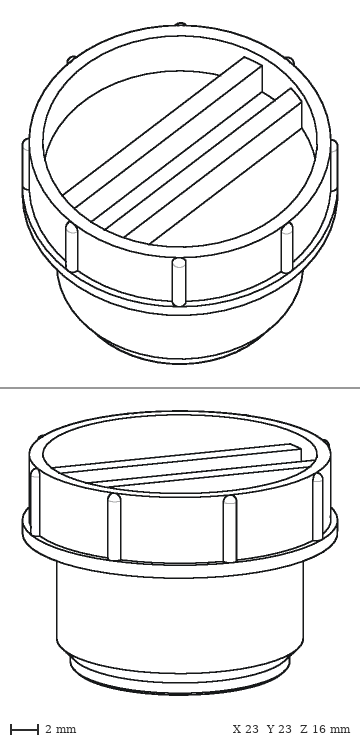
import cadquery as cq

total_height = 16.0
tip_height = 1.0
cone_height = 1.01
body_height = 8.0
flange_height = 1.0
tip_chamfer = 0.2

tip_diameter = 16.0
body_diameter = 18.0
flange_diameter = 23.0
cup_inner_diameter = 20.0
cup_wall = 1.0

cup_depth = 4.0
bar_drop = 1.01
bar_inner_x = 1.5
bar_outer_x = 3.0

rib_count = 8

cone_bottom = tip_height
cone_top = cone_bottom + cone_height
flange_bottom = cone_top + body_height
flange_top = flange_bottom + flange_height
floor_z = total_height - cup_depth
cup_outer_radius = cup_inner_diameter / 2 + cup_wall
rib_radius = flange_diameter / 2 - cup_outer_radius


def make_body():
    """Solid turned profile: chamfered tip, cone, plug body, flange and cup."""
    tip_radius = tip_diameter / 2
    body_radius = body_diameter / 2
    flange_radius = flange_diameter / 2
    outline = [
        (0, 0),
        (tip_radius - tip_chamfer, 0),
        (tip_radius, tip_chamfer),
        (tip_radius, cone_bottom),
        (body_radius, cone_top),
        (body_radius, flange_bottom),
        (flange_radius, flange_bottom),
        (flange_radius, flange_top),
        (cup_outer_radius, flange_top),
        (cup_outer_radius, total_height),
        (0, total_height),
    ]
    profile = cq.Workplane("XZ").polyline(outline).close()
    return profile.revolve(360, (0, 0, 0), (0, 1, 0))


def make_ribs():
    """Round ribs, half sunk in the cup wall, with domed tops level with the rim."""
    straight_top = total_height - rib_radius
    ribs = (
        cq.Workplane("XY")
        .workplane(offset=flange_bottom)
        .polarArray(cup_outer_radius, 0, 360, rib_count)
        .circle(rib_radius)
        .extrude(straight_top - flange_bottom)
    )
    domes = (
        cq.Workplane("XY")
        .workplane(offset=straight_top)
        .polarArray(cup_outer_radius, 0, 360, rib_count)
        .sphere(rib_radius)
    )
    return ribs.union(domes)


def make_cup_cavity():
    """Round recess, less the two parallel bars that span it along Y."""
    cavity = cq.Workplane("XY").workplane(offset=floor_z).circle(cup_inner_diameter / 2).extrude(cup_depth)
    bar_center_x = (bar_inner_x + bar_outer_x) / 2
    bars = (
        cq.Workplane("XY")
        .workplane(offset=floor_z)
        .pushPoints([(-bar_center_x, 0), (bar_center_x, 0)])
        .rect(bar_outer_x - bar_inner_x, flange_diameter)
        .extrude(cup_depth - bar_drop)
    )
    return cavity.cut(bars)


result = make_body().union(make_ribs()).cut(make_cup_cavity())